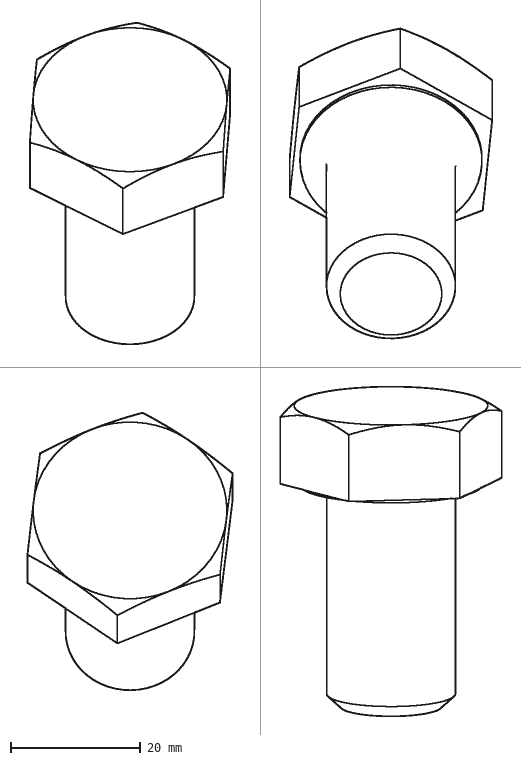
import cadquery as cq
import math

total_length = 47.5
head_height = 12.5
across_flats = 30.0
shank_diameter = 20.0
shank_length = total_length - head_height

washer_diameter = 28.2
washer_thickness = 0.6

crown_angle = math.radians(30)
neck_radius = 0.8
tip_chamfer_height = 2.0
tip_chamfer_width = 2.15

flat_radius = across_flats / 2
corner_radius = flat_radius / math.cos(math.pi / 6)
shank_radius = shank_diameter / 2


def make_hexagon():
    """Hexagonal prism with two corners on the X axis."""
    return (
        cq.Workplane("XY")
        .workplane(offset=washer_thickness)
        .polygon(6, 2 * corner_radius)
        .extrude(head_height - washer_thickness)
    )


def make_crown_envelope():
    """Solid of revolution whose conical top bevels the hexagon corners."""
    crown_drop = (corner_radius - flat_radius) * math.tan(crown_angle)
    return (
        cq.Workplane("XZ")
        .moveTo(0, 0)
        .lineTo(corner_radius, 0)
        .lineTo(corner_radius, head_height - crown_drop)
        .lineTo(flat_radius, head_height)
        .lineTo(0, head_height)
        .close()
        .revolve(360, (0, 0, 0), (0, 1, 0))
    )


def make_washer_face():
    return cq.Workplane("XY").circle(washer_diameter / 2).extrude(washer_thickness)


def make_shank():
    """Shank with a concave neck under the head and a conical tip."""
    diagonal = math.sqrt(0.5)
    neck_middle = (
        shank_radius + neck_radius * (1 - diagonal),
        -neck_radius * (1 - diagonal),
    )
    return (
        cq.Workplane("XZ")
        .moveTo(0, 0)
        .lineTo(shank_radius + neck_radius, 0)
        .threePointArc(neck_middle, (shank_radius, -neck_radius))
        .lineTo(shank_radius, tip_chamfer_height - shank_length)
        .lineTo(shank_radius - tip_chamfer_width, -shank_length)
        .lineTo(0, -shank_length)
        .close()
        .revolve(360, (0, 0, 0), (0, 1, 0))
    )


head = make_hexagon().intersect(make_crown_envelope())
result = head.union(make_washer_face()).union(make_shank())